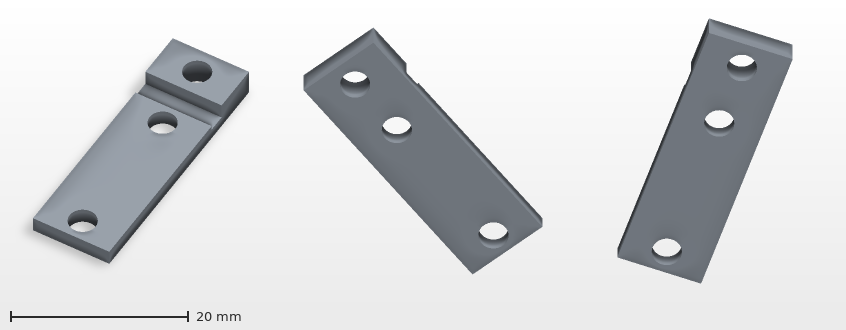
import cadquery as cq

length = 30.6
width = 10.0
block_height = 3.4

plate_thickness = 2.0
groove_floor = 1.4
block_length = 6.0
groove_width = 2.17

hole_diameter = 3.4
block_hole_setback = block_length / 2
plate_hole_setback = 10.55
front_hole_setback = 28.05

block_front = length - block_length
groove_front = block_front - groove_width

profile = [
    (0, 0),
    (length, 0),
    (length, block_height),
    (block_front, block_height),
    (block_front, groove_floor),
    (groove_front, groove_floor),
    (groove_front, plate_thickness),
    (0, plate_thickness),
]
body = cq.Workplane("YZ").polyline(profile).close().extrude(width / 2, both=True)

setbacks = [block_hole_setback, plate_hole_setback, front_hole_setback]
holes = (
    cq.Workplane("XY")
    .pushPoints([(0, length - setback) for setback in setbacks])
    .circle(hole_diameter / 2)
    .extrude(block_height)
)

result = body.cut(holes)